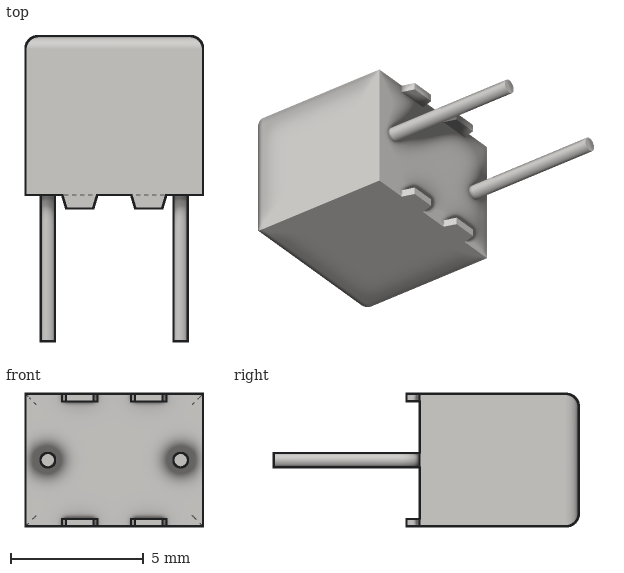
import cadquery as cq

CASE_WIDTH = 6.7
CASE_LENGTH = 6.0
CASE_HEIGHT = 5.0
EDGE_RADIUS = 0.5

FOOT_LENGTH = 0.5
FOOT_THICKNESS = 0.29
FOOT_ROOT_WIDTH = 1.32
FOOT_TIP_WIDTH = 1.02
FOOT_PITCH = 2.6

LEAD_DIAMETER = 0.55
LEAD_LENGTH = 5.5
LEAD_PITCH = 5.0



def make_foot(x_center, z_bottom):
    """Trapezoid foot that projects from the open end towards -Y."""
    half_root = FOOT_ROOT_WIDTH / 2
    half_tip = FOOT_TIP_WIDTH / 2
    return (
        cq.Workplane("XY", origin=(x_center, 0, z_bottom))
        .moveTo(-half_root, 0)
        .lineTo(-half_tip, -FOOT_LENGTH)
        .lineTo(half_tip, -FOOT_LENGTH)
        .lineTo(half_root, 0)
        .close()
        .extrude(FOOT_THICKNESS)
    )


def make_case():
    """Box with a rounded closed end and a foot pair on its top and bottom faces."""
    case = (
        cq.Workplane("XY")
        .box(CASE_WIDTH, CASE_LENGTH, CASE_HEIGHT, centered=(True, False, True))
        .faces(">Y")
        .edges()
        .fillet(EDGE_RADIUS)
    )
    bottom = -CASE_HEIGHT / 2
    top_foot_bottom = CASE_HEIGHT / 2 - FOOT_THICKNESS
    for x_center in (-FOOT_PITCH / 2, FOOT_PITCH / 2):
        for z_bottom in (bottom, top_foot_bottom):
            case = case.union(make_foot(x_center, z_bottom))
    return case.solids()


def make_lead(x_center):
    """Straight lead that butts against the open end of the case."""
    return (
        cq.Workplane("XZ", origin=(x_center, 0, 0))
        .circle(LEAD_DIAMETER / 2)
        .extrude(LEAD_LENGTH)
    )


case = make_case()
leads = [make_lead(x_center) for x_center in (-LEAD_PITCH / 2, LEAD_PITCH / 2)]

result = cq.Compound.makeCompound([case.val(), *[lead.val() for lead in leads]])